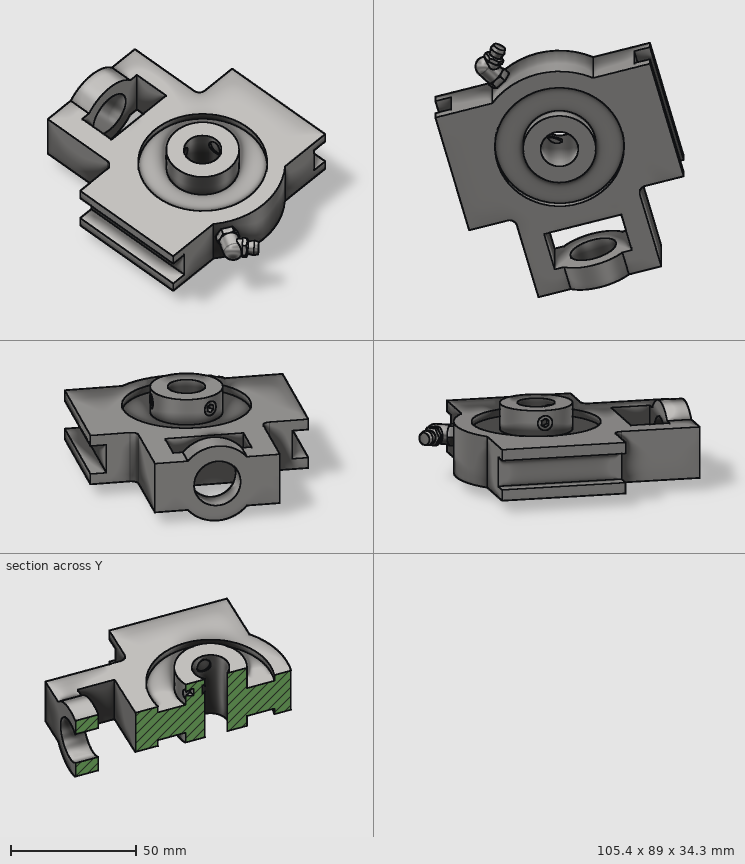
import cadquery as cq
import math


housing_height = 21.0
plate_width_x = 51.0
plate_width_y = 89.0
neck_end_x = -61.0
neck_width_y = 51.0
neck_fillet = 3.0
rim_radius = 33.0
guide_spacing = 76.0
guide_width_z = 12.0

boss_diameter = 32.0
boss_length = 10.0
boss_hole_diameter = 19.0
window_length_x = 16.0
window_width_y = 32.0

seat_diameter = 51.7
ring_width = 15.0
hub_diameter = 29.1
hub_top_z = 18.3
hub_length = 31.0
bore_diameter = 15.0

set_screw_diameter = 6.0
set_screw_z = 13.1
set_screw_angles = (90.0, 210.0)
set_screw_outer_radius = 14.4
set_screw_inner_radius = 8.0
socket_flats = 3.0
socket_depth = 3.0

nipple_z = 2.85
stem_angle = -30.0
root_diameter = 6.0
root_start = 28.0
stem_hex_flats = 8.0
stem_hex_start = 32.8
stem_hex_end = 35.9
stem_diameter = 8.0
stem_end = 41.7
elbow_radius = 40.0
head_angle = 40.0
head_diameter = 7.0
head_hex_flats = 7.0
head_hex_start = 4.3
head_hex_end = 6.6
head_hex_end_diameter = 5.4
neck_diameter = 5.0
bulb_diameter = 6.0
bulb_distance = 9.0
tip_diameter = 5.0
tip_distance = 10.7
hex_chamfer_angle = 30.0


def axis_plane(angle, distance, z, start=(0.0, 0.0)):
    """Plane facing along a horizontal direction, at a distance from a start point."""
    dx = math.cos(math.radians(angle))
    dy = math.sin(math.radians(angle))
    origin = (start[0] + distance * dx, start[1] + distance * dy, z)
    return cq.Plane(origin=origin, xDir=(-dy, dx, 0), normal=(dx, dy, 0))


def cylinder_z(diameter, bottom, height):
    return cq.Workplane("XY").workplane(offset=bottom).circle(diameter / 2).extrude(height)


def hexagon(workplane, flats, length):
    """Hexagonal prism with two of its flats parallel to the workplane's x."""
    return workplane.polygon(6, flats / math.cos(math.pi / 6)).extrude(length)


def chamfered_hexagon(plane, flats, length, end_diameter):
    """Hexagonal prism whose outer end is turned off by a cone down to the end diameter."""
    corner_radius = flats / 2 / math.cos(math.pi / 6)
    inset = corner_radius - end_diameter / 2
    drop = inset * math.tan(math.radians(hex_chamfer_angle))
    turned = (
        cq.Workplane(plane).circle(corner_radius).extrude(length)
        .faces(cq.selectors.DirectionMinMaxSelector(plane.zDir, True))
        .chamfer(drop, inset)
    )
    return hexagon(cq.Workplane(plane), flats, length).intersect(turned)


def make_housing():
    bottom = -housing_height / 2
    plate = cq.Workplane("XY").box(plate_width_x, plate_width_y, housing_height)
    neck = cq.Workplane("XY").box(-neck_end_x, neck_width_y, housing_height)
    body = plate.union(neck.translate((neck_end_x / 2, 0, 0)))
    for side in (-1, 1):
        corner = cq.selectors.NearestToPointSelector((-plate_width_x / 2, side * neck_width_y / 2, 0))
        body = body.edges("|Z").edges(corner).fillet(neck_fillet)
    rim = cylinder_z(2 * rim_radius, bottom, housing_height)
    right_half = cq.Workplane("XY").box(rim_radius, 2 * rim_radius, housing_height)
    body = body.union(rim.intersect(right_half.translate((rim_radius / 2, 0, 0))))

    boss = cq.Workplane("YZ").workplane(offset=neck_end_x).circle(boss_diameter / 2).extrude(boss_length)
    body = body.union(boss)
    boss_hole = (
        cq.Workplane("YZ").workplane(offset=neck_end_x).circle(boss_hole_diameter / 2).extrude(boss_length)
    )
    window_centre_x = neck_end_x + boss_length + window_length_x / 2
    window = cq.Workplane("XY").box(window_length_x, window_width_y, housing_height)
    body = body.cut(boss_hole).cut(window.translate((window_centre_x, 0, 0)))

    guide_depth = (plate_width_y - guide_spacing) / 2
    guide = cq.Workplane("XY").box(plate_width_x, guide_depth, guide_width_z)
    for side in (-1, 1):
        body = body.cut(guide.translate((0, side * (guide_spacing + guide_depth) / 2, 0)))

    return body.cut(cylinder_z(seat_diameter, bottom, housing_height))


def make_bearing():
    hub_bottom = hub_top_z - hub_length
    bearing = cylinder_z(seat_diameter, -ring_width / 2, ring_width)
    bearing = bearing.union(cylinder_z(hub_diameter, hub_bottom, hub_length))
    bearing = bearing.cut(cylinder_z(bore_diameter, hub_bottom, hub_length))
    for angle in set_screw_angles:
        hole = cq.Workplane(axis_plane(angle, 0, set_screw_z)).circle(set_screw_diameter / 2)
        bearing = bearing.cut(hole.extrude(hub_diameter))
        bearing = bearing.union(make_set_screw(angle))
    return bearing


def make_set_screw(angle):
    outer_end = cq.Workplane(axis_plane(angle, set_screw_outer_radius, set_screw_z))
    length = set_screw_outer_radius - set_screw_inner_radius
    screw = outer_end.circle(set_screw_diameter / 2).extrude(-length)
    upright = outer_end.transformed(rotate=(0, 0, 90))
    return screw.cut(hexagon(upright, socket_flats, -socket_depth))


def half_section(angle, start):
    """Level workplane at the nipple's height, with its x along a horizontal direction."""
    dx = math.cos(math.radians(angle))
    dy = math.sin(math.radians(angle))
    plane = cq.Plane(origin=(start[0], start[1], nipple_z), xDir=(dx, dy, 0), normal=(0, 0, 1))
    return cq.Workplane(plane)


def turn(section):
    return section.close().revolve(360, (0, 0), (1, 0))


def make_stem():
    root_radius = root_diameter / 2
    radius = stem_diameter / 2
    diagonal = radius * math.cos(math.pi / 4)
    turned = turn(
        half_section(stem_angle, (0, 0))
        .moveTo(root_start, 0)
        .lineTo(root_start, root_radius)
        .lineTo(stem_hex_end, root_radius)
        .lineTo(stem_hex_end, radius)
        .lineTo(stem_end, radius)
        .threePointArc((stem_end + diagonal, diagonal), (stem_end + radius, 0))
    )
    hex_plane = axis_plane(stem_angle, stem_hex_start, nipple_z)
    hex_length = stem_hex_end - stem_hex_start
    return turned.union(chamfered_hexagon(hex_plane, stem_hex_flats, hex_length, stem_diameter))


def make_head():
    elbow = axis_plane(stem_angle, elbow_radius, nipple_z).origin
    start = (elbow.x, elbow.y)
    turned = turn(
        half_section(head_angle, start)
        .lineTo(0, head_diameter / 2)
        .lineTo(head_hex_start, head_diameter / 2)
        .lineTo(head_hex_start, neck_diameter / 2)
        .lineTo(head_hex_end, neck_diameter / 2)
        .lineTo(bulb_distance, bulb_diameter / 2)
        .lineTo(tip_distance, tip_diameter / 2)
        .lineTo(tip_distance, 0)
    )
    hex_plane = axis_plane(head_angle, head_hex_start, nipple_z, start)
    hex_length = head_hex_end - head_hex_start
    return turned.union(chamfered_hexagon(hex_plane, head_hex_flats, hex_length, head_hex_end_diameter))


def make_nipple():
    return make_stem().union(make_head())


result = make_housing().union(make_bearing()).union(make_nipple())